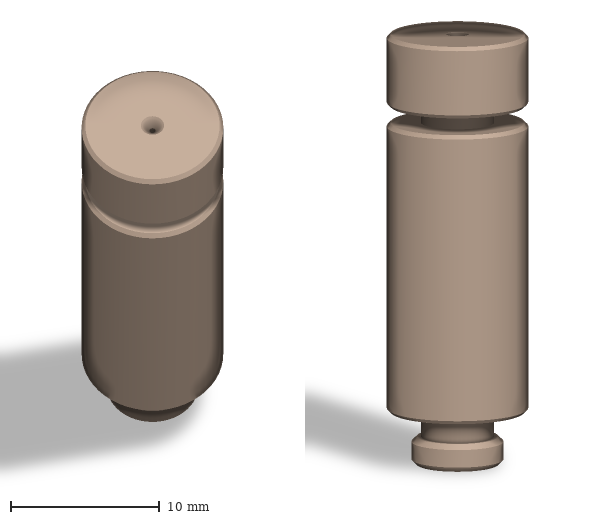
import cadquery as cq

total_length = 29.44
body_diameter = 9.53
edge_chamfer = 0.25

flange_diameter = 6.2
flange_height = 1.9
flange_chamfer = 0.35
stem_diameter = 4.92
lower_neck_height = 1.7
upper_neck_height = 1.15
cap_height = 4.9
body_height = total_length - flange_height - lower_neck_height - upper_neck_height - cap_height

bore_diameter = 0.4
mouth_diameter = 1.55
mouth_angle = 90

flange_bottom = -total_length / 2
flange_top = flange_bottom + flange_height
body_bottom = flange_top + lower_neck_height
body_top = body_bottom + body_height
cap_bottom = body_top + upper_neck_height
cap_top = cap_bottom + cap_height


def chamfered_disc(diameter, bottom, height, chamfer):
    """Round section on the Z axis with both rims chamfered."""
    disc = cq.Workplane("XY").workplane(offset=bottom).circle(diameter / 2).extrude(height)
    return disc.edges("%CIRCLE").chamfer(chamfer)


def make_stem():
    """Core that joins the flange, the body and the cap."""
    stem = cq.Workplane("XY").workplane(offset=flange_top)
    return stem.circle(stem_diameter / 2).extrude(cap_bottom - flange_top)


def drill_bore(part):
    """Through bore on the Z axis, countersunk at the top face."""
    top_face = part.faces(">Z").workplane(origin=(0, 0, cap_top))
    return top_face.cskHole(bore_diameter, mouth_diameter, mouth_angle)


flange = chamfered_disc(flange_diameter, flange_bottom, flange_height, flange_chamfer)
body = chamfered_disc(body_diameter, body_bottom, body_height, edge_chamfer)
cap = chamfered_disc(body_diameter, cap_bottom, cap_height, edge_chamfer)

result = drill_bore(make_stem().union(flange).union(body).union(cap))